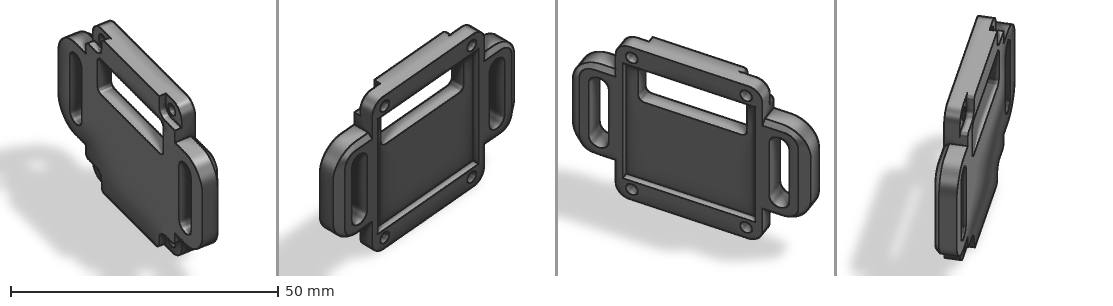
import cadquery as cq

overall_length = 50.25
overall_height = 37.0
thickness = 4.55
front_y = -thickness / 2
back_y = thickness / 2

body_width = 31.0
body_corner_radius = 3.0

ear_height = 22.1
ear_corner_radius = 6.05
slot_width = 4.2
slot_height = 16.9
slot_offset = 19.05

bevel_depth = 1.15
end_bevel_inset = 2.0
side_bevel_inset = 1.0
bevel_back_radius = 3.0

window_width = 22.9
window_height = 8.5
window_center_z = 9.0
window_corner_radius = 1.25

cavity_depth = 1.5
cavity_side_wall = 1.5

hole_diameter = 2.5
hole_offset_x = 12.05
hole_offset_z = 16.0
recess_width = 5.5
recess_height = 4.5
recess_depth = 1.5
recess_inner_radius = 2.0
recess_mouth_radius = 1.0


def rounded_plate(width, height, radius, depth, center_z=0):
    """Plate with rounded corners, running back (+Y) from the front face."""
    return (
        cq.Workplane("XY")
        .box(width, depth, height)
        .edges("|Y")
        .fillet(radius)
        .translate((0, front_y + depth / 2, center_z))
    )


def ear_plate():
    """Full-length plate forming both ears, bevelled towards the back."""
    plate = rounded_plate(overall_length, ear_height, ear_corner_radius, thickness)
    bevel_start_y = back_y - bevel_depth
    straight_depth = thickness - bevel_depth

    side_overhang = bevel_depth - side_bevel_inset
    start_height = ear_height + 2 * side_overhang
    back_length = overall_length - 2 * end_bevel_inset
    back_height = ear_height - 2 * side_bevel_inset

    start = cq.Sketch().rect(overall_length, start_height).vertices().fillet(ear_corner_radius)
    back = cq.Sketch().rect(back_length, back_height).vertices().fillet(bevel_back_radius)
    bevelled_back = (
        cq.Workplane("XZ", origin=(0, bevel_start_y, 0))
        .placeSketch(start, back.moved(cq.Location(cq.Vector(0, 0, -bevel_depth))))
        .loft(ruled=True)
    )
    straight_front = rounded_plate(overall_length, ear_height, ear_corner_radius, straight_depth)
    return straight_front.union(plate.intersect(bevelled_back))


def corner_recess(side_x, side_z, flared):
    """Shallow recess in the front face at one corner; flared recesses have rounded mouths."""
    edge_x = body_width / 2
    edge_z = overall_height / 2
    inner_x = edge_x - recess_width
    inner_z = edge_z - recess_height
    mouth = recess_mouth_radius
    arc_x = inner_x + recess_inner_radius
    arc_z = inner_z + recess_inner_radius

    pocket = cq.Workplane("XZ", origin=(0, front_y, 0)).moveTo(edge_x, edge_z)
    if flared:
        pocket = (
            pocket.lineTo(inner_x - mouth, edge_z)
            .radiusArc((inner_x, edge_z - mouth), mouth)
        )
    else:
        pocket = pocket.lineTo(inner_x, edge_z)
    pocket = (
        pocket.lineTo(inner_x, arc_z)
        .radiusArc((arc_x, inner_z), -recess_inner_radius)
    )
    if flared:
        pocket = (
            pocket.lineTo(edge_x - mouth, inner_z)
            .radiusArc((edge_x, inner_z - mouth), mouth)
        )
    else:
        pocket = pocket.lineTo(edge_x, inner_z)
    pocket = pocket.close().extrude(-recess_depth)

    if side_x < 0:
        pocket = pocket.mirror("YZ")
    if side_z < 0:
        pocket = pocket.mirror("XY")
    return pocket


body = rounded_plate(body_width, overall_height, body_corner_radius, thickness)
result = body.union(ear_plate())

result = result.cut(
    rounded_plate(window_width, window_height, window_corner_radius, thickness, window_center_z)
)

cavity_width = body_width - 2 * cavity_side_wall
cavity_height = overall_height - 2 * recess_height
back_cavity = (
    cq.Workplane("XZ", origin=(0, back_y, 0))
    .rect(cavity_width, cavity_height)
    .extrude(cavity_depth)
)
result = result.cut(back_cavity)

strap_slots = (
    cq.Workplane("XZ", origin=(0, front_y, 0))
    .pushPoints([(-slot_offset, 0), (slot_offset, 0)])
    .slot2D(slot_height, slot_width, 90)
    .extrude(-thickness)
)
result = result.cut(strap_slots)

screw_holes = (
    cq.Workplane("XZ", origin=(0, front_y, 0))
    .rect(2 * hole_offset_x, 2 * hole_offset_z, forConstruction=True)
    .vertices()
    .circle(hole_diameter / 2)
    .extrude(-thickness)
)
result = result.cut(screw_holes)

for side_x in (-1, 1):
    for side_z in (-1, 1):
        is_upper_right = side_x > 0 and side_z > 0
        result = result.cut(corner_recess(side_x, side_z, not is_upper_right))